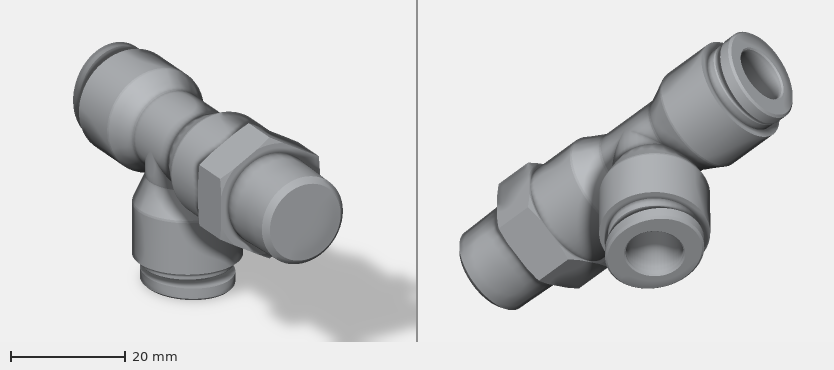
import cadquery as cq
import math

TOTAL_LENGTH = 67.4
PORT_REACH = 26.4
RUN_TURN = 0
BRANCH_TURN = -90

FLANGE_LONG = 18.55
FLANGE_SHORT = 16.1
FLANGE_THICKNESS = 2.35
FLANGE_CHAMFER = 0.4
NECK_DIAMETER = 11.7
SLEEVE_LENGTH = 3.6
TUBE_DIAMETER = 10.2
MOUTH_CHAMFER = 0.3

COLLAR_DIAMETER = 16.5
COLLAR_LENGTH = 1.75
COLLAR_CHAMFER = 0.2

BARREL_DIAMETER = 19.5
WAIST_DIAMETER = 14.95
WAIST_HALF_LENGTH = 6.05
CONE_END = 11.05
CONE_FILLET = 1.0
TEE_END = 20.9

HEX_ACROSS_FLATS = 20.0
HEX_LENGTH = 8.0
HEX_FACE_DIAMETER = 20.7
HEX_CHAMFER_DEPTH = 0.4
TAPER_START_DIAMETER = 17.1
TAPER_RATIO = 1 / 16
STUD_CHAMFER = 1.0

SLEEVE_FACE = -PORT_REACH
COLLAR_FACE = SLEEVE_FACE + SLEEVE_LENGTH
TEE_FACE = COLLAR_FACE + COLLAR_LENGTH
SOCKET_END = -CONE_END
STUD_END = TOTAL_LENGTH - PORT_REACH


def cylinder_x(x_start, x_end, diameter):
    """Cylinder on the X axis between two places."""
    return cq.Workplane("YZ", origin=(x_start, 0, 0)).circle(diameter / 2).extrude(x_end - x_start)


def revolve_x(points):
    """Solid of revolution about X from an (x, radius) outline."""
    return cq.Workplane("XY").polyline(points).close().revolve(360, (0, 0, 0), (1, 0, 0))


def turn_port(body, angle):
    """Turn a body drawn at the run's port about Y."""
    return body.rotate((0, 0, 0), (0, 1, 0), angle)


def make_sleeve():
    """Release sleeve: oval flange and round neck around the tube bore."""
    flange = (
        cq.Workplane("YZ", origin=(SLEEVE_FACE, 0, 0))
        .ellipse(FLANGE_SHORT / 2, FLANGE_LONG / 2)
        .extrude(FLANGE_THICKNESS)
        .faces("<X")
        .chamfer(FLANGE_CHAMFER)
    )
    neck = cylinder_x(SLEEVE_FACE + FLANGE_THICKNESS, COLLAR_FACE, NECK_DIAMETER)
    bore = cylinder_x(SLEEVE_FACE, COLLAR_FACE, TUBE_DIAMETER)
    bore_radius = TUBE_DIAMETER / 2
    mouth = revolve_x([
        (SLEEVE_FACE, 0),
        (SLEEVE_FACE, bore_radius + MOUTH_CHAMFER),
        (SLEEVE_FACE + MOUTH_CHAMFER, bore_radius),
        (SLEEVE_FACE + MOUTH_CHAMFER, 0),
    ])
    return flange.union(neck).cut(bore).cut(mouth)


def make_collar():
    """Ring around the tube bore, set between the sleeve and the tee."""
    ring = cylinder_x(COLLAR_FACE, TEE_FACE, COLLAR_DIAMETER).faces("<X").chamfer(COLLAR_CHAMFER)
    return ring.cut(cylinder_x(COLLAR_FACE, TEE_FACE, TUBE_DIAMETER))


def make_arm(arm_length, rounded_places):
    """Waist from the origin, then cone and barrel towards -X, with fillets at the given places along X."""
    waist_radius = WAIST_DIAMETER / 2
    barrel_radius = BARREL_DIAMETER / 2
    arm = revolve_x([
        (0, 0),
        (0, waist_radius),
        (-WAIST_HALF_LENGTH, waist_radius),
        (-CONE_END, barrel_radius),
        (-arm_length, barrel_radius),
        (-arm_length, 0),
    ])
    for place in rounded_places:
        arm = arm.edges(cq.selectors.NearestToPointSelector((place, 0, 0))).fillet(CONE_FILLET)
    return arm


def make_tee():
    """Housing: port arm, stud arm and branch arm, with a blind tube socket in each port."""
    both_cone_ends = [-WAIST_HALF_LENGTH, -CONE_END]
    port_arm = make_arm(-TEE_FACE, both_cone_ends)
    stud_arm = make_arm(TEE_END, both_cone_ends).mirror("YZ")
    branch_arm = turn_port(make_arm(-TEE_FACE, [-CONE_END]), BRANCH_TURN)
    socket = cylinder_x(TEE_FACE, SOCKET_END, TUBE_DIAMETER)
    tee = port_arm.union(stud_arm).union(branch_arm)
    return tee.cut(socket).cut(turn_port(socket, BRANCH_TURN))


def make_stud():
    """Hexagon with chamfered corners, and the tapered end beyond it."""
    corner_diameter = HEX_ACROSS_FLATS / math.cos(math.pi / 6)
    hex_end = TEE_END + HEX_LENGTH
    hexagon = (
        cq.Workplane("YZ", origin=(TEE_END, 0, 0))
        .polygon(6, corner_diameter)
        .extrude(HEX_LENGTH)
        .rotate((0, 0, 0), (1, 0, 0), 90)
    )
    corner_chamfers = revolve_x([
        (TEE_END, 0),
        (TEE_END, HEX_FACE_DIAMETER / 2),
        (TEE_END + HEX_CHAMFER_DEPTH, corner_diameter / 2),
        (hex_end - HEX_CHAMFER_DEPTH, corner_diameter / 2),
        (hex_end, HEX_FACE_DIAMETER / 2),
        (hex_end, 0),
    ])
    taper_length = STUD_END - hex_end
    end_diameter = TAPER_START_DIAMETER - TAPER_RATIO * taper_length
    taper = revolve_x([
        (hex_end, 0),
        (hex_end, TAPER_START_DIAMETER / 2),
        (STUD_END, end_diameter / 2),
        (STUD_END, 0),
    ])
    taper = taper.faces(">X").chamfer(STUD_CHAMFER)
    return hexagon.intersect(corner_chamfers).union(taper)


tee = make_tee()
stud = make_stud()
run_sleeve = make_sleeve()
run_collar = make_collar()

sleeves = []
collars = []
for turn in (RUN_TURN, BRANCH_TURN):
    sleeves.append(turn_port(run_sleeve, turn).val())
    collars.append(turn_port(run_collar, turn).val())

result = cq.Compound.makeCompound([tee.val(), stud.val(), *sleeves, *collars])